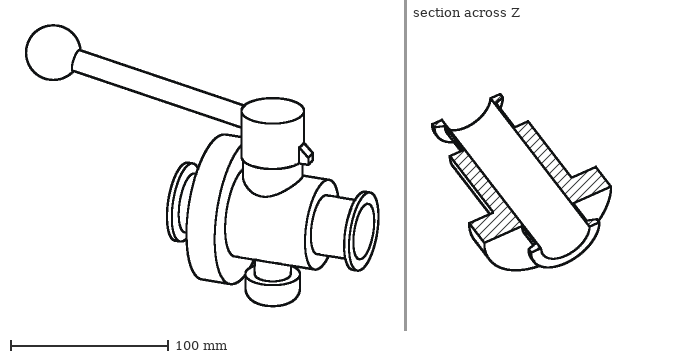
import cadquery as cq
import math


half_length = 62.5
bore_dia = 35.7
tube_dia = 38.1
ferrule_dia = 50.5
ferrule_rim_width = 3.4
ferrule_cone_angle = 20.0

body_dia = 58.0
body_right = 33.8
flange_dia = 93.7
flange_left = -40.4
flange_right = -21.0

neck_dia = 38.0
head_dia = 40.0
head_bottom = 42.0
head_top = 73.8

pointer_reach = 26.0
pointer_width = 8.0
pointer_inner_height = 11.0
pointer_outer_height = 5.0

rod_dia = 14.0
handle_angle = 10.0
ball_dia = 35.0
ball_x = -150.5
ball_z = 89.27

pin_dia = 23.0
knob_dia = 35.0
knob_top = -40.0
knob_bottom = -57.5
knob_fillet = 8.0


def cylinder_x(diameter, start, end):
    """Solid cylinder on the bore axis between two X positions."""
    return cq.Workplane("YZ").workplane(offset=start).circle(diameter / 2).extrude(end - start)


def cylinder_z(diameter, start, end):
    """Solid cylinder on the stem axis between two Z positions."""
    return cq.Workplane("XY").workplane(offset=start).circle(diameter / 2).extrude(end - start)


def make_ferrule_tube():
    """Right-hand half of the pipe, ending in a clamp ferrule with a tapered back."""
    tube_radius = tube_dia / 2
    ferrule_radius = ferrule_dia / 2
    rim_back = half_length - ferrule_rim_width
    cone_length = (ferrule_radius - tube_radius) * math.tan(math.radians(ferrule_cone_angle))
    profile = [
        (0, 0),
        (half_length, 0),
        (half_length, ferrule_radius),
        (rim_back, ferrule_radius),
        (rim_back - cone_length, tube_radius),
        (0, tube_radius),
    ]
    return cq.Workplane("XY").polyline(profile).close().revolve(360, (0, 0, 0), (1, 0, 0))


def make_body():
    """Pipe with a ferrule at each end, the body barrel and its large flange."""
    right_tube = make_ferrule_tube()
    left_tube = right_tube.mirror("YZ")
    barrel = cylinder_x(body_dia, flange_left, body_right)
    flange = cylinder_x(flange_dia, flange_left, flange_right)
    return barrel.union(flange).union(right_tube).union(left_tube)


def make_stem():
    """Neck rising from the body and the wider handle head above it."""
    neck = cylinder_z(neck_dia, 0, head_bottom)
    head = cylinder_z(head_dia, head_bottom, head_top)
    return neck.union(head)


def make_pointer():
    """Small tab with a sloping top on the +X side of the head."""
    head_radius = head_dia / 2
    outline = [
        (0, head_bottom),
        (pointer_reach, head_bottom),
        (pointer_reach, head_bottom + pointer_outer_height),
        (head_radius, head_bottom + pointer_inner_height),
        (0, head_bottom + pointer_inner_height),
    ]
    return cq.Workplane("XZ").polyline(outline).close().extrude(pointer_width / 2, both=True)


def make_handle():
    """Rod sloping up from the stem axis to a ball at its far end."""
    angle = math.radians(handle_angle)
    rod_length = -ball_x / math.cos(angle)
    rod_direction = cq.Vector(math.cos(angle), 0, -math.sin(angle))
    ball_center = cq.Vector(ball_x, 0, ball_z)
    rod = cq.Solid.makeCylinder(rod_dia / 2, rod_length, ball_center, rod_direction)
    ball = cq.Workplane("XY").sphere(ball_dia / 2).translate(ball_center)
    return ball.union(cq.Workplane(rod))


def make_knob():
    """Pin below the body ending in a knob with a rounded lower edge."""
    pin = cylinder_z(pin_dia, knob_top, 0)
    knob = cylinder_z(knob_dia, knob_bottom, knob_top).faces("<Z").edges().fillet(knob_fillet)
    return pin.union(knob)


valve = make_body().union(make_stem()).union(make_pointer()).union(make_handle()).union(make_knob())
bore = cylinder_x(bore_dia, -half_length, half_length)
result = valve.cut(bore)